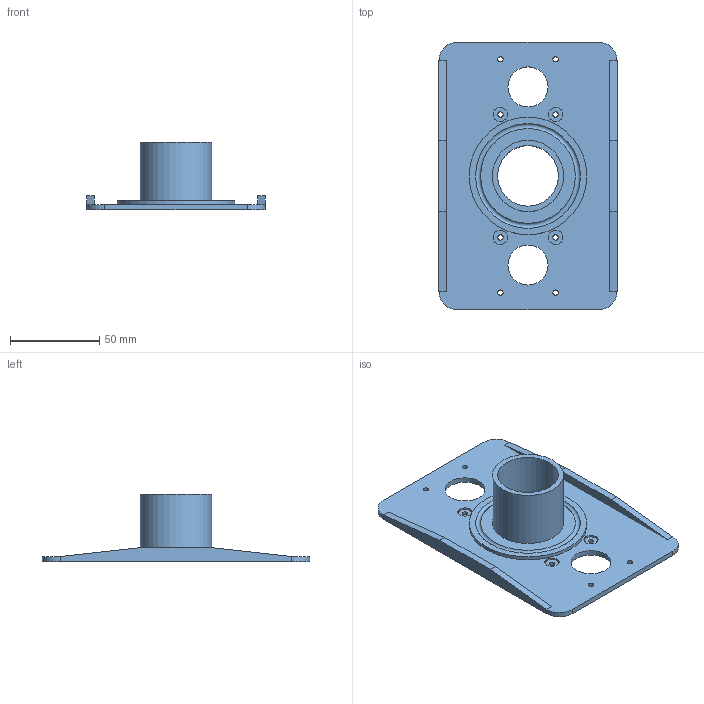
import cadquery as cq

plate_width = 100.0
plate_length = 150.0
plate_thickness = 3.0
corner_radius = 10.0

total_height = 38.0
tube_diameter = 40.0
tube_bore = 34.0
disc_diameter = 66.0
disc_height = 2.0
disc_top = plate_thickness + disc_height

groove_center_radius = 28.0
groove_round_radius = 1.5
groove_center_lift = 0.5

rail_width = 4.0
rail_height = 5.0
rail_length = plate_length - 2 * corner_radius
rail_flat_length = 40.0

motor_offset = 50.0
motor_bore = 22.5
screw_spacing = 31.0
screw_diameter = 3.0
counterbore_diameter = 8.0
counterbore_depth = 1.0


def cylinder(diameter, bottom, top, x=0.0, y=0.0):
    """Vertical cylinder between two heights."""
    return cq.Workplane("XY", origin=(x, y, bottom)).circle(diameter / 2).extrude(top - bottom)


def make_plate():
    """Flat base with rounded corners."""
    plate = cq.Workplane("XY").box(
        plate_width, plate_length, plate_thickness, centered=(True, True, False)
    )
    return plate.edges("|Z").fillet(corner_radius)


def make_rail(inner_x):
    """Rail with a trapezoid side profile, extending in +X from inner_x."""
    half_length = rail_length / 2
    half_flat = rail_flat_length / 2
    rail_top = plate_thickness + rail_height
    profile = [
        (-half_length, 0),
        (half_length, 0),
        (half_length, plate_thickness),
        (half_flat, rail_top),
        (-half_flat, rail_top),
        (-half_length, plate_thickness),
    ]
    return cq.Workplane("YZ", origin=(inner_x, 0, 0)).polyline(profile).close().extrude(rail_width)


def make_groove():
    """Ring of circular section, centred just above the top face of the disc."""
    return (
        cq.Workplane("XZ")
        .center(groove_center_radius, disc_top + groove_center_lift)
        .circle(groove_round_radius)
        .revolve(360, (-groove_center_radius, 0), (-groove_center_radius, 1))
    )


def cut_motor_mount(body, side):
    """Cut the bore and four screw holes of one mount; side is +1 or -1 along Y."""
    center_y = side * motor_offset
    inner_y = side * (motor_offset - screw_spacing / 2)
    outer_y = side * (motor_offset + screw_spacing / 2)
    body = body.cut(cylinder(motor_bore, 0, plate_thickness, y=center_y))
    for x in (-screw_spacing / 2, screw_spacing / 2):
        for y in (inner_y, outer_y):
            body = body.cut(cylinder(screw_diameter, 0, plate_thickness, x, y))
        recess_floor = plate_thickness - counterbore_depth
        body = body.cut(cylinder(counterbore_diameter, recess_floor, plate_thickness, x, inner_y))
    return body


body = make_plate()
for rail_inner_x in (-plate_width / 2, plate_width / 2 - rail_width):
    body = body.union(make_rail(rail_inner_x))
body = body.union(cylinder(disc_diameter, 0, disc_top))
body = body.cut(make_groove())
body = body.union(cylinder(tube_diameter, 0, total_height))
body = body.cut(cylinder(tube_bore, 0, total_height))
for mount_side in (-1, 1):
    body = cut_motor_mount(body, mount_side)

result = body